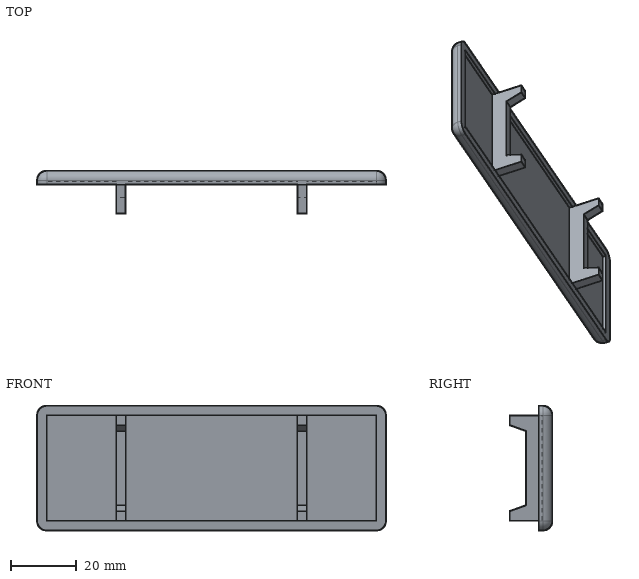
import cadquery as cq

length = 106.0
height = 38.0
total_depth = 13.0
panel_depth = 4.2
edge_radius = 3.0

rim_width = 3.0
recess_depth = 1.0
recess_length = length - 2 * rim_width
recess_height = height - 2 * rim_width

bracket_width = 2.9
bracket_spacing = 55.0
bar_rise = 3.8
leg_tip_height = 3.0
leg_root_height = 4.8

recess_floor_y = recess_depth
bar_face_y = -bar_rise
leg_tip_y = panel_depth - total_depth


def make_panel():
    block = cq.Workplane("XY").box(length, panel_depth, height)
    block = block.translate((0, panel_depth / 2, 0))
    rounded = block.edges("|Y").fillet(edge_radius).faces(">Y").edges().fillet(edge_radius)
    recess = cq.Workplane("XY").box(recess_length, recess_depth, recess_height)
    return rounded.cut(recess.translate((0, recess_depth / 2, 0)))


def make_bracket(center_x):
    """U-shaped bracket standing on the recess floor, centred on center_x."""
    half_height = recess_height / 2
    tip_z = half_height - leg_tip_height
    root_z = half_height - leg_root_height
    profile = [
        (recess_floor_y, half_height),
        (leg_tip_y, half_height),
        (leg_tip_y, tip_z),
        (bar_face_y, root_z),
        (bar_face_y, -root_z),
        (leg_tip_y, -tip_z),
        (leg_tip_y, -half_height),
        (recess_floor_y, -half_height),
    ]
    bracket = cq.Workplane("YZ").polyline(profile).close().extrude(bracket_width / 2, both=True)
    return bracket.translate((center_x, 0, 0))


result = make_panel()
for side in (-1, 1):
    result = result.union(make_bracket(side * bracket_spacing / 2))